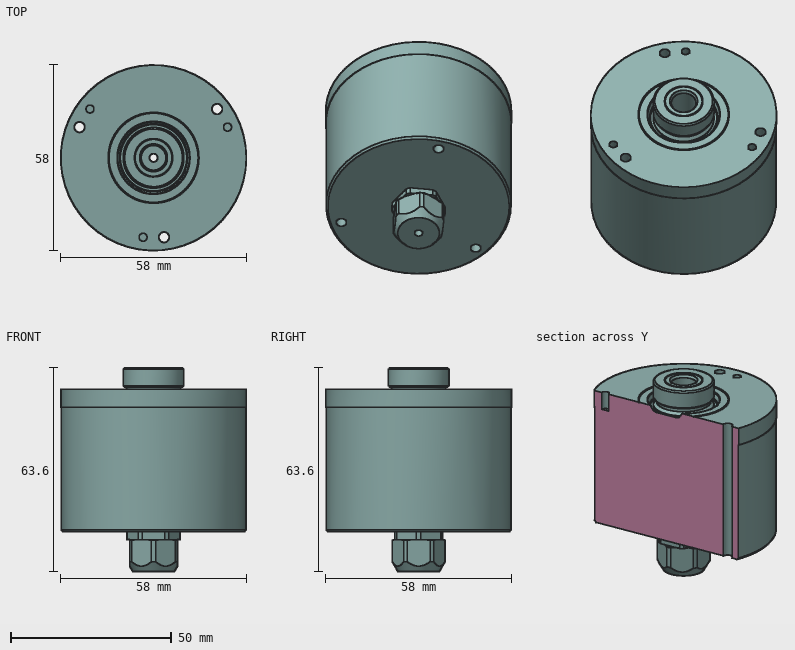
import cadquery as cq
import math

lower_nut_top = 10.0
body_bottom = 12.4
flange_bottom = 51.3
flange_top = 57.0
knob_bottom = 57.6
knob_top = 63.6

flange_radius = 29.0
body_radius = 28.9
body_chamfer_radial = 0.6
body_chamfer_height = 0.7

ring_groove_outer_radius = 14.2
ring_groove_width = 0.3
ring_groove_depth = 0.15
recess_radius = 11.4
recess_chamfer = 0.2
recess_step_radius = 10.6
recess_step_depth = 1.7
recess_floor_radius = 10.35
recess_depth = 1.9

neck_radius = 8.5
flare_start_depth = 0.65
flare_end_depth = 1.6
flare_radius = 9.5
knob_radius = 9.5
knob_chamfer = 0.5
knob_ring_outer_radius = 6.0
knob_ring_width = 0.25
knob_ring_depth = 0.1
bore_radius = 3.85
bore_mouth_radius = 4.35
bore_taper_depth = 0.87
bore_depth = 20.0
through_bore_radius = 1.25

bolt_circle_radius = 25.0
hole_count = 3
hole_pitch = 360.0 / hole_count
through_hole_radius = 1.6
through_hole_angle = 37.5
blind_hole_radius = 1.25
blind_hole_angle = 22.5
blind_hole_depth = 5.7

nut_sides = 6
upper_nut_flat_angle = 90.0
lower_nut_flat_angle = 0.0
nut_across_flats = 15.0
nut_corner_radius = 8.3
nut_cone_angle = 30.0
nut_tip_radius = 6.5
nut_top_chamfer_radial = 0.5
nut_top_chamfer_height = 0.25


def cylinder(radius, bottom, top):
    return cq.Workplane("XY").workplane(offset=bottom).circle(radius).extrude(top - bottom)


def tube(outer_radius, inner_radius, bottom, top):
    profile = cq.Workplane("XY").workplane(offset=bottom).circle(outer_radius).circle(inner_radius)
    return profile.extrude(top - bottom)


def revolved(points):
    """Revolve a closed (radius, height) outline about the Z axis."""
    return cq.Workplane("XZ").polyline(points).close().revolve(360, (0, 0), (0, 1))


def hexagon(bottom, top, flat_angle):
    """Hexagonal prism with one flat facing flat_angle, measured from +X."""
    half_side_angle = 180.0 / nut_sides
    across_corners = nut_across_flats / math.cos(math.radians(half_side_angle))
    prism = cq.Workplane("XY").polygon(nut_sides, across_corners).extrude(top - bottom)
    return prism.rotate((0, 0, 0), (0, 0, 1), flat_angle + half_side_angle).translate((0, 0, bottom))


def make_housing():
    outline = [
        (0, body_bottom),
        (body_radius - body_chamfer_radial, body_bottom),
        (body_radius, body_bottom + body_chamfer_height),
        (body_radius, flange_bottom),
        (flange_radius, flange_bottom),
        (flange_radius, flange_top),
        (0, flange_top),
    ]
    return revolved(outline)


def cut_annular_recesses(part):
    groove_inner_radius = ring_groove_outer_radius - ring_groove_width
    groove = tube(ring_groove_outer_radius, groove_inner_radius, flange_top - ring_groove_depth, flange_top)
    step_height = flange_top - recess_step_depth
    floor_height = flange_top - recess_depth
    recess = revolved([
        (neck_radius, flange_top),
        (neck_radius, flange_top - flare_start_depth),
        (flare_radius, flange_top - flare_end_depth),
        (flare_radius, floor_height),
        (recess_floor_radius, floor_height),
        (recess_floor_radius, step_height),
        (recess_step_radius, step_height),
        (recess_radius - recess_chamfer, flange_top - recess_chamfer),
        (recess_radius, flange_top),
    ])
    return part.cut(groove).cut(recess)


def make_knob():
    neck = cylinder(neck_radius, flange_top - flare_start_depth, knob_bottom)
    head = cylinder(knob_radius, knob_bottom, knob_top).edges().chamfer(knob_chamfer)
    ring_inner_radius = knob_ring_outer_radius - knob_ring_width
    ring = tube(knob_ring_outer_radius, ring_inner_radius, knob_top - knob_ring_depth, knob_top)
    return neck.union(head).cut(ring)


def cut_bores(part):
    bore = revolved([
        (0, knob_top - bore_depth),
        (bore_radius, knob_top - bore_depth),
        (bore_radius, knob_top - bore_taper_depth),
        (bore_mouth_radius, knob_top),
        (0, knob_top),
    ])
    return part.cut(bore).cut(cylinder(through_bore_radius, 0, knob_top))


def cut_hole_ring(part, radius, first_angle, bottom):
    for index in range(hole_count):
        angle = math.radians(first_angle + index * hole_pitch)
        x = bolt_circle_radius * math.cos(angle)
        y = bolt_circle_radius * math.sin(angle)
        part = part.cut(cylinder(radius, bottom, flange_top).translate((x, y, 0)))
    return part


def make_upper_nut():
    rounding = cylinder(nut_corner_radius, lower_nut_top, body_bottom)
    return hexagon(lower_nut_top, body_bottom, upper_nut_flat_angle).intersect(rounding)


def make_lower_nut():
    cone_height = (nut_corner_radius - nut_tip_radius) / math.tan(math.radians(nut_cone_angle))
    envelope = revolved([
        (0, 0),
        (nut_tip_radius, 0),
        (nut_corner_radius, cone_height),
        (nut_corner_radius, lower_nut_top - nut_top_chamfer_height),
        (nut_corner_radius - nut_top_chamfer_radial, lower_nut_top),
        (0, lower_nut_top),
    ])
    return hexagon(0, lower_nut_top, lower_nut_flat_angle).intersect(envelope)


part = cut_annular_recesses(make_housing())
part = cut_hole_ring(part, through_hole_radius, through_hole_angle, body_bottom)
part = cut_hole_ring(part, blind_hole_radius, blind_hole_angle, flange_top - blind_hole_depth)
part = part.union(make_knob()).union(make_upper_nut()).union(make_lower_nut())
result = cut_bores(part)